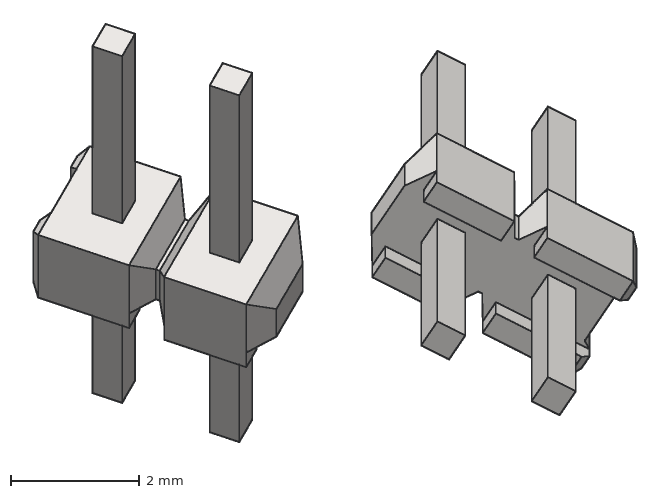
import cadquery as cq

total_length = 4.0
body_width = 2.0
body_height = 1.5
pin_length = 8.3
pin_size = 0.51
pin_tail = 2.8
pitch = total_length / 2

taper_length = 0.3
taper_depth = 0.49
neck_length = 0.07
channel_width = 1.18
channel_height = 0.35
rib_height = 0.15
rib_base_width = 0.51
rib_inner_bevel = 0.1

end_x = total_length / 2
first_cell_start = -end_x + rib_height
second_cell_end = end_x - taper_length
taper_slope = taper_depth / taper_length


def box(x_start, x_end, width, z_start, z_end):
    """Box centred on Y between the given X and Z limits."""
    return (
        cq.Workplane("XY", origin=((x_start + x_end) / 2, 0, z_start))
        .rect(x_end - x_start, width)
        .extrude(z_end - z_start)
    )


def taper(x_base, x_tip):
    """Cell end narrowing at both sides and the top, with a flat underside."""
    inset = abs(x_tip - x_base) * taper_slope
    base_height = body_height - channel_height
    tip_height = base_height - inset
    return (
        cq.Workplane("YZ", origin=(x_base, 0, channel_height))
        .center(0, base_height / 2)
        .rect(body_width, base_height)
        .workplane(offset=x_tip - x_base)
        .center(0, -inset / 2)
        .rect(body_width - 2 * inset, tip_height)
        .loft(ruled=True)
    )


def end_rib(side):
    """Bevelled vertical rib on the -X end, at the given side of Y."""
    tip_width = rib_base_width - rib_height - rib_inner_bevel
    base_y = side * (body_width - rib_base_width) / 2
    tip_shift = side * (rib_inner_bevel - rib_height) / 2
    return (
        cq.Workplane("YZ", origin=(first_cell_start, base_y, body_height / 2))
        .rect(rib_base_width, body_height)
        .workplane(offset=-rib_height)
        .center(tip_shift, 0)
        .rect(tip_width, body_height - 2 * rib_height)
        .loft(ruled=True)
    )


neck_start = -neck_length / 2
neck_end = neck_length / 2
neck_inset = (neck_start + taper_length) * taper_slope
body = box(first_cell_start, -taper_length, body_width, 0, body_height)
body = body.union(box(taper_length, second_cell_end, body_width, 0, body_height))
body = body.union(taper(-taper_length, neck_start))
body = body.union(taper(taper_length, neck_end))
body = body.union(
    box(neck_start, neck_end, body_width - 2 * neck_inset, channel_height, body_height - neck_inset)
)
body = body.union(taper(second_cell_end, end_x))

for side in (-1, 1):
    body = body.union(end_rib(side))

body = body.cut(box(-end_x, end_x, channel_width, 0, channel_height))

pins = (
    cq.Workplane("XY", origin=(0, 0, -pin_tail))
    .rarray(pitch, 0.08, 2, 1)
    .rect(pin_size, pin_size)
    .extrude(pin_length)
)
result = body.union(pins)